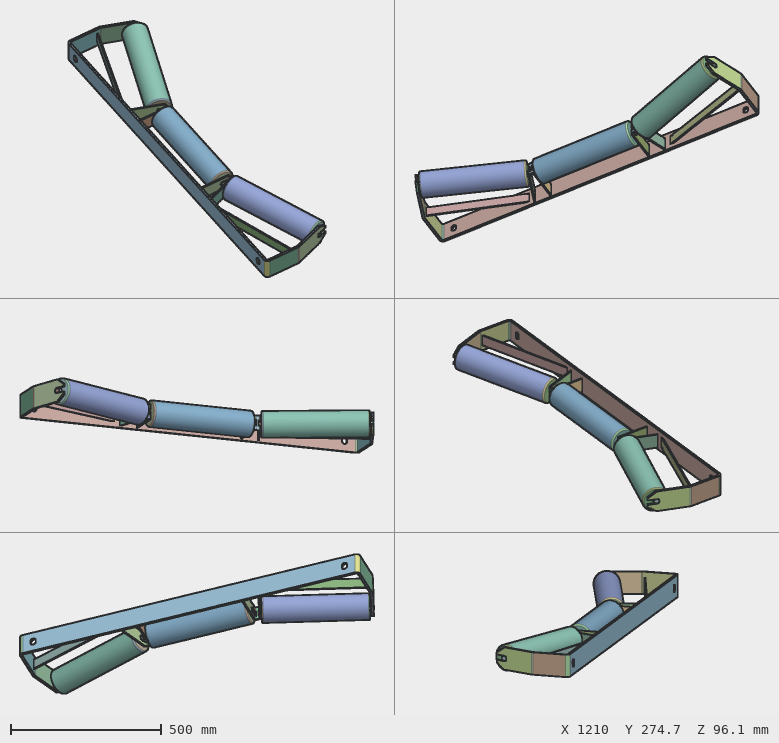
import cadquery as cq
import math

FRAME_LENGTH = 1210.0
FRAME_WIDTH = 76.0
FRAME_THICKNESS = 8.0
FRAME_BEND_RADIUS = 5.5
BEND_HEIGHT = 128.0
ARM_LENGTH = 148.0
TROUGH_ANGLE = 20.0
TIP_CHAMFER_LENGTH = 30.0
TIP_CHAMFER_DEPTH = 20.0
HOLE_INSET = 51.0
HOLE_WIDTH = 18.0
HOLE_HEIGHT = 25.0

ROLLER_LENGTH = 359.0
ROLLER_DIAMETER = 90.0
ROLLER_FILLET = 5.0
ROLLER_GAP = 4.0
SHAFT_DIAMETER = 19.0
SHAFT_FLAT_WIDTH = 15.0
SLOT_WIDTH = 18.0
SLOT_REACH = 60.0
SEAT_DROP = 1.0
CENTER_ROLLER_Y = 102.0
WING_AXIS_X = 215.0
WING_AXIS_Y = 111.0
AXIS_DROP = 6.2

BRACKET_WIDTH = 51.0
BRACKET_THICKNESS = 5.0
BRACKET_BEND_RADIUS = 2.0
BRACKET_TOP = 127.0

STRUT_WIDTH = 38.0
STRUT_THICKNESS = 5.0
STRUT_TOP_Y = 119.0
STRUT_FOOT_X = 267.0

HALF_LENGTH = FRAME_LENGTH / 2
ARM_SIN = math.sin(math.radians(TROUGH_ANGLE))
ARM_COS = math.cos(math.radians(TROUGH_ANGLE))
ARM_TIP = (-HALF_LENGTH + ARM_LENGTH * ARM_SIN, BEND_HEIGHT + ARM_LENGTH * ARM_COS)
WING_CENTER_X = -WING_AXIS_X - ROLLER_LENGTH / 2 * ARM_COS
WING_CENTER_Y = WING_AXIS_Y + ROLLER_LENGTH / 2 * ARM_SIN
SHAFT_INNER_END = ROLLER_LENGTH / 2 + ROLLER_GAP + BRACKET_THICKNESS
SHAFT_OUTER_END = ROLLER_LENGTH / 2 + ROLLER_GAP + FRAME_THICKNESS
TOE_ANGLE = math.degrees(math.asin(AXIS_DROP / ROLLER_LENGTH))


def offset_corners(path, distance):
    """Corners of a path moved to its left by a distance, with mitred bends."""
    directions = []
    for (x0, y0), (x1, y1) in zip(path, path[1:]):
        length = math.hypot(x1 - x0, y1 - y0)
        directions.append(((x1 - x0) / length, (y1 - y0) / length))
    befores = [directions[0]] + directions
    afters = directions + [directions[-1]]
    corners = []
    for (x, y), (ux, uy), (vx, vy) in zip(path, befores, afters):
        scale = distance / (1 + ux * vx + uy * vy)
        corners.append((x - (uy + vy) * scale, y + (ux + vx) * scale))
    return corners


def bent_strip(path, thickness, inner_radius, width, z_center):
    """Bent strip whose outer face follows the path; every bend turns left."""
    inner = offset_corners(path, thickness)
    strip = (
        cq.Workplane("XY", origin=(0, 0, z_center))
        .polyline(path + inner[::-1])
        .close()
        .extrude(width / 2, both=True)
    )
    for corners, radius in ((path, inner_radius + thickness), (inner, inner_radius)):
        for x, y in corners[1:-1]:
            bend_edge = cq.selectors.NearestToPointSelector((x, y, z_center))
            strip = strip.edges("|Z").edges(bend_edge).fillet(radius)
    return strip


def mirrored(body):
    """The same body on the +X side."""
    return body.mirror("YZ")


def place_on_wing_axis(body, toe_angle=0.0):
    """Move a body built around the X axis to the middle of the left wing roller."""
    return (
        body.rotate((0, 0, 0), (0, 1, 0), toe_angle)
        .rotate((0, 0, 0), (0, 0, 1), -TROUGH_ANGLE)
        .translate((WING_CENTER_X, WING_CENTER_Y, -AXIS_DROP / 2))
    )


def shaft_slot(x_start, x_end, z_center):
    """Cutter for a round-bottomed slot, open towards +Y, around a shaft along the X axis."""
    radius = SLOT_WIDTH / 2
    seat = (
        cq.Workplane("YZ", origin=(x_start, 0, z_center))
        .center(-SEAT_DROP, 0)
        .moveTo(SLOT_REACH, -radius)
        .lineTo(0, -radius)
        .threePointArc((-radius, 0), (0, radius))
        .lineTo(SLOT_REACH, radius)
        .close()
    )
    return seat.extrude(x_end - x_start)


def arm_tip_chamfers():
    """Cutters for both corners of the left arm's tip."""
    x_tip, y_tip = ARM_TIP
    upper = (
        cq.Workplane("YZ", origin=(-FRAME_THICKNESS, 0, 0))
        .moveTo(0, FRAME_WIDTH / 2)
        .lineTo(-TIP_CHAMFER_LENGTH, FRAME_WIDTH / 2)
        .lineTo(0, FRAME_WIDTH / 2 - TIP_CHAMFER_DEPTH)
        .close()
        .extrude(3 * FRAME_THICKNESS)
    )
    both = upper.union(upper.mirror("XY"))
    return both.rotate((0, 0, 0), (0, 0, 1), -TROUGH_ANGLE).translate((x_tip, y_tip, 0))


def make_frame():
    left_path = [ARM_TIP, (-HALF_LENGTH, BEND_HEIGHT), (-HALF_LENGTH, 0)]
    right_path = [(-x, y) for x, y in left_path[::-1]]
    frame = bent_strip(left_path + right_path, FRAME_THICKNESS, FRAME_BEND_RADIUS, FRAME_WIDTH, 0)

    slot = shaft_slot(-SHAFT_OUTER_END - FRAME_THICKNESS, -ROLLER_LENGTH / 2, AXIS_DROP / 2)
    arm_cuts = place_on_wing_axis(slot).union(arm_tip_chamfers())
    frame = frame.cut(arm_cuts).cut(mirrored(arm_cuts))

    hole_x = HALF_LENGTH - HOLE_INSET
    mounting_holes = (
        cq.Workplane("XZ")
        .pushPoints([(-hole_x, 0), (hole_x, 0)])
        .slot2D(HOLE_HEIGHT, HOLE_WIDTH, 90)
        .extrude(-FRAME_THICKNESS)
    )
    return frame.cut(mounting_holes)


def make_bracket():
    """Left inner bracket, standing on the frame's base."""
    leg_x = -ROLLER_LENGTH / 2 - ROLLER_GAP
    face_x = -WING_AXIS_X + ROLLER_GAP * ARM_COS
    face_y = WING_AXIS_Y - ROLLER_GAP * ARM_SIN
    lean = ARM_SIN / ARM_COS
    path = [
        (leg_x, 0),
        (leg_x, BRACKET_TOP),
        (face_x + (BRACKET_TOP - face_y) * lean, BRACKET_TOP),
        (face_x - face_y * lean, 0),
    ]
    bracket = bent_strip(path, BRACKET_THICKNESS, BRACKET_BEND_RADIUS, BRACKET_WIDTH, -AXIS_DROP)

    base = cq.Workplane("XY").box(FRAME_LENGTH, 2 * FRAME_THICKNESS, 2 * FRAME_WIDTH)
    slot_end = SHAFT_INNER_END + BRACKET_THICKNESS / 2
    wing_slot = place_on_wing_axis(shaft_slot(ROLLER_LENGTH / 2, slot_end, -AXIS_DROP / 2))
    center_slot = shaft_slot(-slot_end, -ROLLER_LENGTH / 2, -AXIS_DROP).translate((0, CENTER_ROLLER_Y, 0))
    return bracket.cut(base).cut(wing_slot).cut(center_slot)


def make_strut():
    """Left strut, from the frame's upright down to its base."""
    top_x = -HALF_LENGTH + FRAME_THICKNESS
    slope = math.atan2(STRUT_TOP_Y - FRAME_THICKNESS, -STRUT_FOOT_X - top_x)
    return (
        cq.Workplane("XY")
        .polyline(
            [
                (top_x, STRUT_TOP_Y),
                (-STRUT_FOOT_X, FRAME_THICKNESS),
                (-STRUT_FOOT_X - STRUT_THICKNESS / math.sin(slope), FRAME_THICKNESS),
                (top_x, STRUT_TOP_Y - STRUT_THICKNESS / math.cos(slope)),
            ]
        )
        .close()
        .extrude(STRUT_WIDTH / 2, both=True)
    )


def make_roller(shaft_start, shaft_end):
    """Roller around the X axis, centred on the origin, with flats on its shaft facing +Z and -Z."""
    shell = (
        cq.Workplane("YZ", origin=(-ROLLER_LENGTH / 2, 0, 0))
        .circle(ROLLER_DIAMETER / 2)
        .extrude(ROLLER_LENGTH)
        .edges()
        .fillet(ROLLER_FILLET)
    )
    shaft_length = shaft_end - shaft_start
    shaft = cq.Workplane("YZ", origin=(shaft_start, 0, 0)).circle(SHAFT_DIAMETER / 2).extrude(shaft_length)
    flats = cq.Workplane("XY").box(FRAME_LENGTH, SHAFT_DIAMETER, SHAFT_FLAT_WIDTH)
    return shell.union(shaft.intersect(flats))


frame = make_frame()
bracket = make_bracket()
strut = make_strut()
wing_roller = place_on_wing_axis(make_roller(-SHAFT_OUTER_END, SHAFT_INNER_END), TOE_ANGLE)
center_roller = make_roller(-SHAFT_INNER_END, SHAFT_INNER_END).translate((0, CENTER_ROLLER_Y, -AXIS_DROP))

bodies = [frame.val(), center_roller.val()]
for body in (bracket, strut, wing_roller):
    bodies += [body.val(), mirrored(body).val()]

result = cq.Compound.makeCompound(bodies)